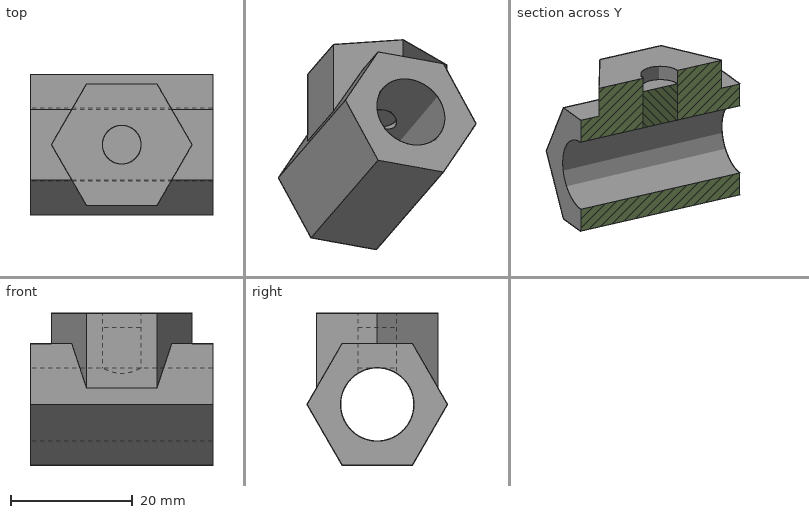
import cadquery as cq
import math

across_flats = 20.0
sleeve_length = 30.0
bore_diameter = 12.0
boss_rise = 5.0
cross_hole_diameter = 6.35
plug_recess = 2.4
hexagon_sides = 6

across_corners = across_flats / math.cos(math.pi / hexagon_sides)
boss_top = across_flats / 2 + boss_rise
bore_radius = bore_diameter / 2
plug_top = boss_top - plug_recess
plug_bottom = bore_radius


def make_sleeve():
    """Hexagonal bar along X with flats at the top and bottom."""
    return (
        cq.Workplane("YZ")
        .polygon(hexagon_sides, across_corners)
        .extrude(sleeve_length / 2, both=True)
    )


def make_boss():
    """Upright hexagonal boss, flats facing -Y and +Y, rising from the bore axis."""
    return cq.Workplane("XY").polygon(hexagon_sides, across_corners).extrude(boss_top)


def make_bore():
    """Through bore along the sleeve."""
    return cq.Workplane("YZ").circle(bore_radius).extrude(sleeve_length / 2, both=True)


def make_cross_hole():
    """Hole from the top of the boss down into the bore."""
    return cq.Workplane("XY").circle(cross_hole_diameter / 2).extrude(boss_top)


def make_housing():
    """Sleeve and boss in one piece, with the bore and the cross hole."""
    return make_sleeve().union(make_boss()).cut(make_bore()).cut(make_cross_hole())


def make_plug():
    """Round plug filling the cross hole, sunk below the boss top."""
    return (
        cq.Workplane("XY")
        .workplane(offset=plug_bottom)
        .circle(cross_hole_diameter / 2)
        .extrude(plug_top - plug_bottom)
    )


housing = make_housing()
plug = make_plug()

result = cq.Compound.makeCompound([housing.val(), plug.val()])